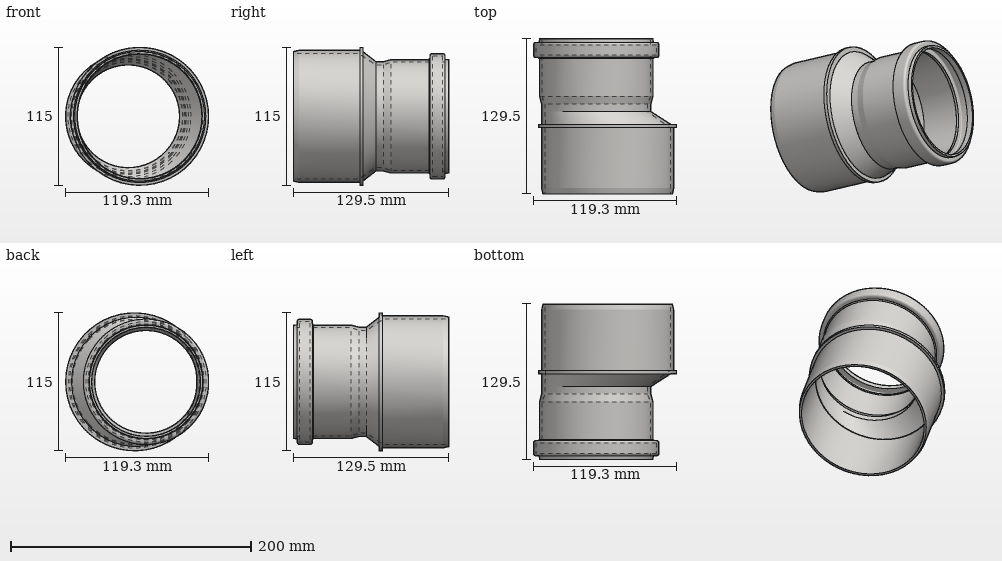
import cadquery as cq


spigot_diameter = 110.2
spigot_bore = 104.4
spigot_tip_diameter = 108.0
flange_diameter = 115.0
taper_base_diameter = 107.6
taper_bore = 103.6
neck_diameter = 91.2
neck_bore = 85.3
socket_diameter = 94.7
socket_bore = 90.5
bead_diameter = 104.5
groove_diameter = 100.4
lip_diameter = 95.0
lip_bore = 90.8

tip_chamfer_end = 4.8
flange_start = 55.3
flange_end = 58.1
neck_start = 68.8
neck_end = 74.9
socket_start = 81.5
bead_start = 113.6
bead_end = 126.4
total_length = 129.5
bead_middle = (bead_start + bead_end) / 2

bead_fillet = 2.1
bead_root_length = 0.8
bead_root_height = 1.0
groove_wall = (bead_diameter - groove_diameter) / 2
groove_fillet = 0.6
lip_taper_length = 2.1
lip_taper_depth = 0.4

axis_offset = -(spigot_diameter - neck_diameter) / 2


def revolve_profile(points, axis_x):
    """Revolve a closed (radius, y) profile about a line parallel to Y."""
    profile = cq.Workplane("XY").polyline(points).close()
    return profile.revolve(360, (0, 0, 0), (0, 1, 0)).translate((axis_x, 0, 0))


def cylinder(diameter, start, end, axis_x):
    radius = diameter / 2
    return revolve_profile([(0, start), (radius, start), (radius, end), (0, end)], axis_x)


def eccentric_taper(base_diameter, base_y, base_x, end_diameter):
    """Loft from a circle near the spigot to a circle at the start of the neck."""
    return (
        cq.Workplane("XZ", origin=(base_x, base_y, 0))
        .circle(base_diameter / 2)
        .workplane(offset=-(neck_start - base_y))
        .center(axis_offset - base_x, 0)
        .circle(end_diameter / 2)
        .loft(ruled=True)
    )


def spigot_body():
    spigot = revolve_profile(
        [
            (0, 0),
            (spigot_tip_diameter / 2, 0),
            (spigot_diameter / 2, tip_chamfer_end),
            (spigot_diameter / 2, flange_end),
            (0, flange_end),
        ],
        0,
    )
    return spigot.union(cylinder(flange_diameter, flange_start, flange_end, 0))


def socket_body():
    socket = revolve_profile(
        [
            (0, neck_start),
            (neck_diameter / 2, neck_start),
            (neck_diameter / 2, neck_end),
            (socket_diameter / 2, socket_start),
            (socket_diameter / 2, bead_start - bead_root_length),
            (socket_diameter / 2 + bead_root_height, bead_start),
            (socket_diameter / 2 + bead_root_height, bead_middle),
            (lip_diameter / 2, bead_middle),
            (lip_diameter / 2, total_length - lip_taper_length),
            (lip_diameter / 2 - lip_taper_depth, total_length),
            (0, total_length),
        ],
        axis_offset,
    )
    bead = cylinder(bead_diameter, bead_start, bead_end, axis_offset)
    return socket.union(bead.edges().fillet(bead_fillet))


def socket_cavity():
    cavity = revolve_profile(
        [
            (0, neck_start),
            (neck_bore / 2, neck_start),
            (neck_bore / 2, neck_end),
            (socket_bore / 2, socket_start),
            (socket_bore / 2, bead_start),
            (lip_bore / 2, bead_start),
            (lip_bore / 2, total_length),
            (0, total_length),
        ],
        axis_offset,
    )
    groove = cylinder(groove_diameter, bead_start + groove_wall, bead_end - groove_wall, axis_offset)
    return cavity.union(groove.edges().fillet(groove_fillet))


taper_base_x = (taper_base_diameter - spigot_diameter) / 2
outer_taper = eccentric_taper(taper_base_diameter, flange_end, taper_base_x, neck_diameter)
inner_taper = eccentric_taper(taper_bore, flange_start, 0, neck_bore)
spigot_cavity = cylinder(spigot_bore, 0, flange_start, 0)

result = (
    spigot_body()
    .union(outer_taper)
    .union(socket_body())
    .cut(spigot_cavity)
    .cut(inner_taper)
    .cut(socket_cavity())
)